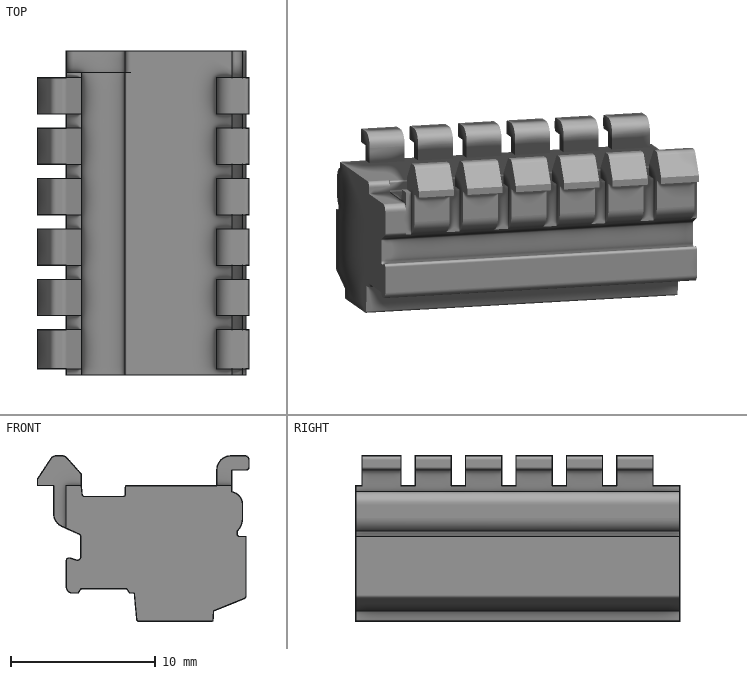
import cadquery as cq

LENGTH = 22.5
TOP_Z = 11.5
DECK_Z = 9.43
FRONT_X = 12.5

LIP_X = 1.05
LIP_FOOT_X = 1.13
GROOVE_X = 4.1
GROOVE_Z = 8.68
GROOVE_ROUND = 0.13

CATCH_X = 1.0
UNDERCUT_Z = 6.45
CATCH_TOP_Z = 6.0
CATCH_BOTTOM_Z = 4.17
CATCH_SILL_Z = 4.48
CATCH_TOP_ROUND = 0.15
CATCH_BOTTOM_ROUND = 0.22
SILL_ROUND = 0.2

FOOT_Z = 1.95
RECESS_Z = 2.25
FOOT_X = 0.83
RECESS_START_X = 1.03
RECESS_END_X = 4.2
KEEL_LEDGE_X = 4.41
KEEL_TOP_X = 4.72
KEEL_REAR_X = 4.9
KEEL_FRONT_X = 10.2
KEEL_SHOULDER_X = 10.24
KEEL_SHOULDER_Z = 0.72
CHIN_Z = 1.63
FOOT_REAR_ROUND = 0.45
FOOT_FRONT_ROUND = 0.1
KEEL_REAR_ROUND = 0.15
KEEL_FRONT_ROUND = 0.1
CHIN_ROUND = 0.25

LEDGE_Z = 5.9
NOTCH_X = 11.88
NOTCH_TOP_Z = 6.27
LOBE_X = 12.25
LOBE_BOTTOM_Z = 7.15
LOBE_TOP_Z = 8.1
LOBE_SHOULDER_Z = 9.0
FRONT_LEDGE_ROUND = 0.08
NOTCH_ROUND = 0.15

END_LENGTH = 1.5
END_FLOOR_Z = 8.6
END_REAR_ROUND = 0.5
END_WALL_ROUND = 0.37
END_CATCH_ROUND = 0.25

CLIP_COUNT = 6
CLIP_PITCH = 3.5
CLIP_WIDTH = 2.53
NEAR_CLIP_EXTRA = 0.2
FAR_CLIP_END_Y = 20.65

CLIP_REAR_X = -2.0
CLIP_REAR_Z = 9.88
CLIP_PEAK_REAR_X = -0.93
CLIP_PEAK_FRONT_X = -0.09
CLIP_FRONT_Z = 10.23
CLIP_PEAK_ROUND = 0.45
STEM_X = -0.88
STEM_FOOT_Z = 6.85
STEM_ROUND = 1.0

LEVER_REAR_X = 10.45
LEVER_FRONT_X = 11.5
LEVER_TIP_X = 12.7
LEVER_UNDER_Z = 10.5
LEVER_BEND_ROUND = 1.0
LEVER_TIP_TOP_ROUND = 0.3
LEVER_TIP_BOTTOM_ROUND = 0.2


def extrude_along_y(profile, y_start, length):
    """Extrude an XZ profile from y_start towards +Y."""
    return profile.extrude(-length).translate((0, y_start, 0))


def tangent_radius(run, rise):
    """Radius of an arc that spans run in X and rise in Z and is vertical at one end."""
    return (run**2 + rise**2) / (2 * run)


def round_edges(solid, corners):
    """Fillet the Y-parallel edges at the given (x, z, radius) corners."""
    reach = 0.02
    for x, z, radius in corners:
        corner_box = cq.selectors.BoxSelector(
            (x - reach, -LENGTH, z - reach),
            (x + reach, 2 * LENGTH, z + reach),
        )
        solid = solid.edges("|Y").edges(corner_box).fillet(radius)
    return solid


def make_body_section(rear_top_points, floor_z, y_start, length, extra_corners):
    """One length of the body; the deck behind the groove differs between sections."""
    lobe_bottom_radius = tangent_radius(LOBE_X - NOTCH_X, LOBE_BOTTOM_Z - NOTCH_TOP_Z)
    lobe_top_radius = tangent_radius(LOBE_X - LEVER_FRONT_X, LOBE_SHOULDER_Z - LOBE_TOP_Z)
    profile = (
        cq.Workplane("XZ")
        .moveTo(0, UNDERCUT_Z)
        .lineTo(CATCH_X, CATCH_TOP_Z)
        .lineTo(CATCH_X, CATCH_BOTTOM_Z)
        .lineTo(0, CATCH_SILL_Z)
        .lineTo(0, FOOT_Z)
        .lineTo(FOOT_X, FOOT_Z)
        .lineTo(RECESS_START_X, RECESS_Z)
        .lineTo(RECESS_END_X, RECESS_Z)
        .lineTo(KEEL_LEDGE_X, FOOT_Z)
        .lineTo(KEEL_TOP_X, FOOT_Z)
        .lineTo(KEEL_REAR_X, 0)
        .lineTo(KEEL_FRONT_X, 0)
        .lineTo(KEEL_SHOULDER_X, KEEL_SHOULDER_Z)
        .lineTo(FRONT_X, CHIN_Z)
        .lineTo(FRONT_X, LEDGE_Z)
        .lineTo(NOTCH_X, LEDGE_Z)
        .lineTo(NOTCH_X, NOTCH_TOP_Z)
        .radiusArc((LOBE_X, LOBE_BOTTOM_Z), -lobe_bottom_radius)
        .lineTo(LOBE_X, LOBE_TOP_Z)
        .radiusArc((LEVER_FRONT_X, LOBE_SHOULDER_Z), -lobe_top_radius)
        .lineTo(LEVER_FRONT_X, DECK_Z)
        .lineTo(GROOVE_X, DECK_Z)
        .lineTo(GROOVE_X, floor_z)
        .polyline(rear_top_points, includeCurrent=True)
        .close()
    )
    shared_corners = [
        (CATCH_X, CATCH_TOP_Z, CATCH_TOP_ROUND),
        (CATCH_X, CATCH_BOTTOM_Z, CATCH_BOTTOM_ROUND),
        (0, CATCH_SILL_Z, SILL_ROUND),
        (0, FOOT_Z, FOOT_REAR_ROUND),
        (FOOT_X, FOOT_Z, FOOT_FRONT_ROUND),
        (KEEL_REAR_X, 0, KEEL_REAR_ROUND),
        (KEEL_FRONT_X, 0, KEEL_FRONT_ROUND),
        (FRONT_X, CHIN_Z, CHIN_ROUND),
        (FRONT_X, LEDGE_Z, FRONT_LEDGE_ROUND),
        (NOTCH_X, LEDGE_Z, NOTCH_ROUND),
    ]
    section = extrude_along_y(profile, y_start, length)
    return round_edges(section, shared_corners + extra_corners)


def make_body():
    main_length = LENGTH - END_LENGTH
    main_section = make_body_section(
        [(LIP_FOOT_X, GROOVE_Z), (LIP_X, DECK_Z), (0, DECK_Z)],
        GROOVE_Z,
        0,
        main_length,
        [
            (GROOVE_X, DECK_Z, GROOVE_ROUND),
            (GROOVE_X, GROOVE_Z, GROOVE_ROUND),
            (LIP_FOOT_X, GROOVE_Z, GROOVE_ROUND),
        ],
    )
    end_section = make_body_section(
        [(0, END_FLOOR_Z)],
        END_FLOOR_Z,
        main_length,
        END_LENGTH,
        [
            (GROOVE_X, DECK_Z, END_WALL_ROUND),
            (0, END_FLOOR_Z, END_REAR_ROUND),
            (0, UNDERCUT_Z, END_CATCH_ROUND),
        ],
    )
    return main_section.union(end_section)


def make_clip(y_start, width):
    """Barbed clip whose stem runs down the rear face of the body."""
    profile = (
        cq.Workplane("XZ")
        .moveTo(CLIP_REAR_X, DECK_Z)
        .lineTo(CLIP_REAR_X, CLIP_REAR_Z)
        .lineTo(CLIP_PEAK_REAR_X, TOP_Z)
        .lineTo(CLIP_PEAK_FRONT_X, TOP_Z)
        .lineTo(LIP_X, CLIP_FRONT_Z)
        .lineTo(LIP_X, DECK_Z)
        .lineTo(0, DECK_Z)
        .lineTo(0, UNDERCUT_Z)
        .lineTo(STEM_X, STEM_FOOT_Z)
        .lineTo(STEM_X, DECK_Z)
        .close()
    )
    corners = [
        (CLIP_PEAK_REAR_X, TOP_Z, CLIP_PEAK_ROUND),
        (CLIP_PEAK_FRONT_X, TOP_Z, CLIP_PEAK_ROUND),
        (STEM_X, STEM_FOOT_Z, STEM_ROUND),
    ]
    return round_edges(extrude_along_y(profile, y_start, width), corners)


def make_lever(y_start, width):
    """Bent lever standing on the front edge of the deck."""
    profile = (
        cq.Workplane("XZ")
        .moveTo(LEVER_REAR_X, DECK_Z)
        .lineTo(LEVER_REAR_X, TOP_Z)
        .lineTo(LEVER_TIP_X, TOP_Z)
        .lineTo(LEVER_TIP_X, LEVER_UNDER_Z)
        .lineTo(LEVER_FRONT_X, LEVER_UNDER_Z)
        .lineTo(LEVER_FRONT_X, DECK_Z)
        .close()
    )
    corners = [
        (LEVER_REAR_X, TOP_Z, LEVER_BEND_ROUND),
        (LEVER_TIP_X, TOP_Z, LEVER_TIP_TOP_ROUND),
        (LEVER_TIP_X, LEVER_UNDER_Z, LEVER_TIP_BOTTOM_ROUND),
    ]
    return round_edges(extrude_along_y(profile, y_start, width), corners)


result = make_body()
for index in range(CLIP_COUNT):
    is_nearest = index == CLIP_COUNT - 1
    pair_width = CLIP_WIDTH + (NEAR_CLIP_EXTRA if is_nearest else 0)
    pair_start = FAR_CLIP_END_Y - index * CLIP_PITCH - pair_width
    result = result.union(make_clip(pair_start, pair_width))
    result = result.union(make_lever(pair_start, pair_width))